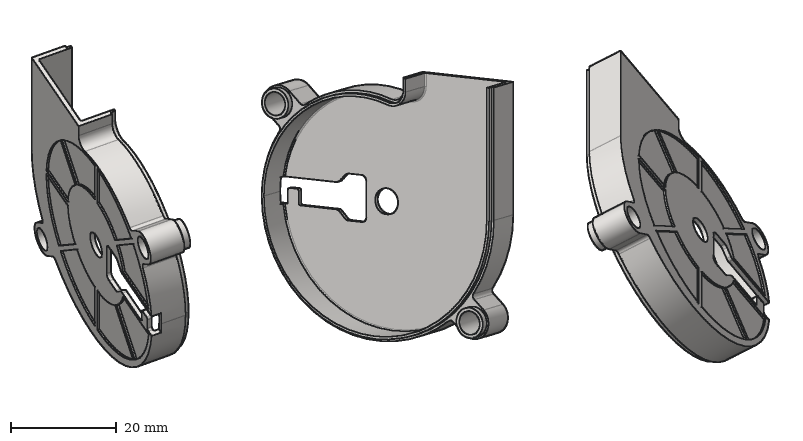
import cadquery as cq
import math


floor_thickness = 1.0
wall_depth = 7.1
rim_depth = 8.0
collar_depth = 8.5
pocket_depth = 0.4
wall_notch_depth = 2.0

scroll_radius = 25.65
scroll_x = -1.8
throat_radius = 22.05
throat_x = scroll_x + scroll_radius - throat_radius
outlet_left = scroll_x - scroll_radius
outlet_width = 20.0
outlet_right = outlet_left + outlet_width
outlet_top = 25.45
tongue_fillet = 2.0
wall_thickness = 1.05
rim_step = 0.5
floor_fillet = 0.25

lug_centers = [(20.05, 18.0), (-22.95, -19.95)]
lug_radius = 3.35
lug_fillet = 0.8
lug_hole_radius = 2.25
collar_radius = 2.9

hub_hole_radius = 2.5
hub_radius = 12.0
pocket_radius = 21.9
pocket_center = (0.7, -0.7)
rib_width = 1.05
rib_count = 8
slot_rib_half_height = 3.4

slot_left = 4.5
slot_wide_end = 8.8
slot_half_height = 2.6
slot_wide_half_height = 4.5
slot_corner_radius = 1.05
slot_end = scroll_x + scroll_radius + rim_step
tab_left = 19.45
tab_right = 21.85
tab_top = 0.5
tab_corner_radius = 0.4

pick_margin = 0.5
pick_tolerance = 0.05


def front_plane(depth=0.0):
    """Sketch plane parallel to the front face, at the given depth along Y."""
    return cq.Workplane("XZ", origin=(0, depth, 0))


def sharp_scroll():
    """Scroll and outlet block, with the corner under the outlet left sharp."""
    tongue_z = math.sqrt(throat_radius**2 - (outlet_right - throat_x) ** 2)
    diagonal = math.sqrt(0.5)
    return (
        front_plane()
        .moveTo(outlet_left, outlet_top)
        .lineTo(outlet_left, 0)
        .threePointArc((scroll_x, -scroll_radius), (scroll_x + scroll_radius, 0))
        .threePointArc(
            (throat_x + throat_radius * diagonal, throat_radius * diagonal),
            (outlet_right, tongue_z),
        )
        .lineTo(outlet_right, outlet_top)
        .close()
        .extrude(-rim_depth)
    )


def scroll_wire():
    """Scroll outline with the tongue corner rounded, as a wire at Y = 0."""
    body = sharp_scroll()
    tongue = cq.selectors.BoxSelector(
        (outlet_right - pick_margin, 0, 0),
        (outlet_right + pick_margin, rim_depth, outlet_top - pick_margin),
    )
    body = body.edges("|Y").edges(tongue).fillet(tongue_fillet)
    return body.faces("<Y").wires().val()


def scroll_body(inset, start, end):
    """Solid scroll between two depths, its outline moved inwards by `inset`."""
    wire = scroll_wire()
    if inset > 0:
        wire = wire.offset2D(-inset)[0]
    face = cq.Face.makeFromWires(wire)
    solid = cq.Solid.extrudeLinear(face, cq.Vector(0, end - start, 0))
    return cq.Workplane(obj=solid.translate(cq.Vector(0, start, 0)))


def outlet_strip(inset, start, end):
    """Block that carries an inset scroll up to the open outlet end."""
    return (
        cq.Workplane("XY")
        .box(outlet_width - 2 * inset, end - start, 2 * inset, centered=(False, False, False))
        .translate((outlet_left + inset, start, outlet_top - 2 * inset))
    )


def open_scroll(inset, start, end):
    """Inset scroll that still reaches the outlet end."""
    return scroll_body(inset, start, end).union(outlet_strip(inset, start, end))


def lug(center):
    """Round-ended arm from the scroll to one mounting hole."""
    x, z = center
    outer = math.hypot(x, z)
    inner = outer / 2
    angle = math.degrees(math.atan2(z, x))
    arm = (
        front_plane()
        .transformed(rotate=(0, 0, angle))
        .center((inner + outer) / 2, 0)
        .rect(outer - inner, 2 * lug_radius)
        .extrude(-wall_depth)
    )
    end = front_plane().center(x, z).circle(lug_radius).extrude(-wall_depth)
    return arm.union(end)


def lug_root_edges(body, center):
    """Edges where the sides of a lug meet the scroll wall."""
    x, z = center
    distance = math.hypot(x, z)
    found = []
    for edge in body.edges("|Y").vals():
        point = edge.Center()
        along = (point.x * x + point.z * z) / distance
        across = abs(point.x * z - point.z * x) / distance
        if abs(across - lug_radius) < pick_tolerance and along < distance - pick_margin:
            found.append(edge)
    return found


def outer_body():
    """Solid body with lugs, before it is hollowed."""
    body = scroll_body(0, 0, wall_depth)
    for center in lug_centers:
        body = body.union(lug(center))
    for center in lug_centers:
        body = body.newObject(lug_root_edges(body, center)).fillet(lug_fillet)
    return body.union(open_scroll(rim_step, wall_depth, rim_depth))


def slot_cutter():
    """Keyhole slot that runs out through the right wall, less the cable tab."""
    bevel = slot_wide_half_height - slot_half_height
    slot = (
        front_plane()
        .moveTo(slot_left, -slot_wide_half_height)
        .lineTo(slot_wide_end, -slot_wide_half_height)
        .lineTo(slot_wide_end + bevel, -slot_half_height)
        .lineTo(tab_left, -slot_half_height)
        .lineTo(tab_left, tab_top)
        .lineTo(tab_right, tab_top)
        .lineTo(tab_right, -slot_half_height)
        .lineTo(slot_end, -slot_half_height)
        .lineTo(slot_end, slot_half_height)
        .lineTo(slot_wide_end + bevel, slot_half_height)
        .lineTo(slot_wide_end, slot_wide_half_height)
        .lineTo(slot_left, slot_wide_half_height)
        .close()
        .extrude(-wall_notch_depth)
    )
    size = 2 * slot_wide_half_height
    wide_end = cq.selectors.BoxSelector(
        (0, 0, -size), (slot_wide_end + bevel + pick_margin, wall_notch_depth, size)
    )
    tab = cq.selectors.BoxSelector(
        (tab_left - pick_margin, 0, -size), (tab_right + pick_margin, wall_notch_depth, size)
    )
    slot = slot.edges("|Y").edges(wide_end).fillet(slot_corner_radius)
    return slot.edges("|Y").edges(tab).fillet(tab_corner_radius)


def pockets():
    """Shallow ring around the hub, split by radial ribs and the slot border."""
    x, z = pocket_center
    ring = front_plane().center(x, z).circle(pocket_radius).extrude(-pocket_depth)
    ring = ring.cut(front_plane().circle(hub_radius).extrude(-pocket_depth))
    for i in range(1, rib_count):
        rib = (
            front_plane()
            .transformed(rotate=(0, 0, i * 360 / rib_count))
            .center(scroll_radius / 2, 0)
            .rect(scroll_radius, rib_width)
            .extrude(-pocket_depth)
        )
        ring = ring.cut(rib)
    border = (
        front_plane()
        .center(scroll_radius / 2, 0)
        .rect(scroll_radius, 2 * slot_rib_half_height)
        .extrude(-pocket_depth)
    )
    return ring.cut(border)


def cavity():
    """Inner space above the floor, rounded where the scroll wall meets the floor."""
    space = open_scroll(wall_thickness, floor_thickness, rim_depth)
    lowest_arc = cq.selectors.NearestToPointSelector(
        (scroll_x, floor_thickness, wall_thickness - scroll_radius)
    )
    return space.faces("<Y").edges("%CIRCLE").edges(lowest_arc).fillet(floor_fillet)


housing = outer_body().cut(cavity())

for lug_x, lug_z in lug_centers:
    collar = front_plane(wall_depth).center(lug_x, lug_z).circle(collar_radius)
    housing = housing.union(collar.extrude(wall_depth - collar_depth))
housing = housing.cut(
    front_plane().pushPoints(lug_centers).circle(lug_hole_radius).extrude(-collar_depth)
)
housing = housing.cut(front_plane().circle(hub_hole_radius).extrude(-floor_thickness))
housing = housing.cut(slot_cutter())
result = housing.cut(pockets())